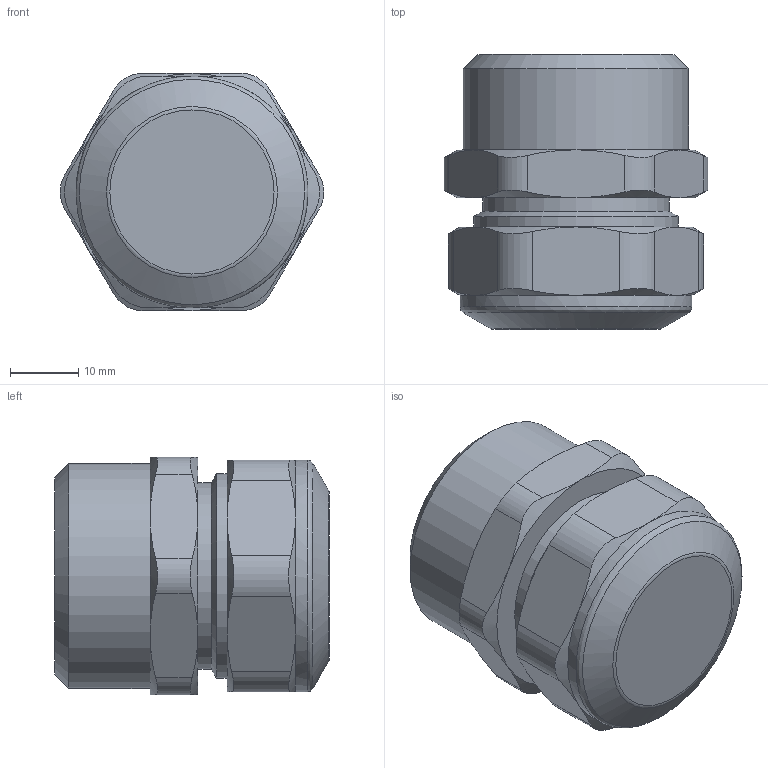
import cadquery as cq
import math


CHAMFER_SLOPE = math.tan(math.radians(30))

CAP_LENGTH = 5.0
NUT_LENGTH = 10.0
COLLAR_LENGTH = 2.3
NECK_LENGTH = 2.0
BODY_HEX_LENGTH = 7.0
SPIGOT_LENGTH = 14.0

NUT_ACROSS_FLATS = 34.0
NUT_CORNER_RADIUS = 6.0
BODY_ACROSS_FLATS = 34.8
BODY_CORNER_RADIUS = 5.0

CAP_RADIUS = NUT_ACROSS_FLATS / 2
CAP_FACE_RADIUS = 12.3
CAP_EDGE_FILLET = 1.0
COLLAR_RADIUS = 15.0
NECK_RADIUS = 13.7
SPIGOT_RADIUS = 16.5
SPIGOT_CHAMFER = 2.1

NUT_START = CAP_LENGTH
COLLAR_START = NUT_START + NUT_LENGTH
NECK_START = COLLAR_START + COLLAR_LENGTH
BODY_HEX_START = NECK_START + NECK_LENGTH
SPIGOT_START = BODY_HEX_START + BODY_HEX_LENGTH
TOTAL_LENGTH = SPIGOT_START + SPIGOT_LENGTH


def turned(profile):
    """Revolve a closed (radius, y) outline about the Y axis."""
    return cq.Workplane("XY").polyline(profile).close().revolve(360, (0, 0, 0), (0, 1, 0))


def hexagon(across_flats, corner_radius, start, length):
    """Hexagon with rounded corners along X and 30 degree chamfers on both ends."""
    flat_distance = across_flats / 2
    corner_distance = flat_distance / math.cos(math.radians(30))
    prism = (
        cq.Workplane("XZ", origin=(0, start, 0))
        .polygon(6, 2 * corner_distance)
        .extrude(-length)
        .edges("|Y")
        .fillet(corner_radius)
    )
    end = start + length
    chamfer_depth = (corner_distance - flat_distance) * CHAMFER_SLOPE
    chamfer_envelope = turned([
        (0, start),
        (flat_distance, start),
        (corner_distance, start + chamfer_depth),
        (corner_distance, end - chamfer_depth),
        (flat_distance, end),
        (0, end),
    ])
    return prism.intersect(chamfer_envelope)


def cap():
    """Conical front cap with both rims of the cone rounded."""
    cone_depth = (CAP_RADIUS - CAP_FACE_RADIUS) * CHAMFER_SLOPE
    blank = turned([
        (0, 0),
        (CAP_FACE_RADIUS, 0),
        (CAP_RADIUS, cone_depth),
        (CAP_RADIUS, CAP_LENGTH),
        (0, CAP_LENGTH),
    ])
    cone_rims = blank.faces("%CONE").edges("%CIRCLE")
    return cone_rims.fillet(CAP_EDGE_FILLET)


def collar_and_neck():
    """Collar behind the nut, bevelled down to the narrower neck."""
    bevel_length = (COLLAR_RADIUS - NECK_RADIUS) * CHAMFER_SLOPE
    return turned([
        (0, COLLAR_START),
        (COLLAR_RADIUS, COLLAR_START),
        (COLLAR_RADIUS, NECK_START - bevel_length),
        (NECK_RADIUS, NECK_START),
        (NECK_RADIUS, BODY_HEX_START),
        (0, BODY_HEX_START),
    ])


def spigot():
    """Cylindrical connection end with a 45 degree lead-in chamfer."""
    return turned([
        (0, SPIGOT_START),
        (SPIGOT_RADIUS, SPIGOT_START),
        (SPIGOT_RADIUS, TOTAL_LENGTH - SPIGOT_CHAMFER),
        (SPIGOT_RADIUS - SPIGOT_CHAMFER, TOTAL_LENGTH),
        (0, TOTAL_LENGTH),
    ])


nut = hexagon(NUT_ACROSS_FLATS, NUT_CORNER_RADIUS, NUT_START, NUT_LENGTH)
body_hex = hexagon(BODY_ACROSS_FLATS, BODY_CORNER_RADIUS, BODY_HEX_START, BODY_HEX_LENGTH)

result = (
    cap()
    .union(nut)
    .union(collar_and_neck())
    .union(body_hex)
    .union(spigot())
)